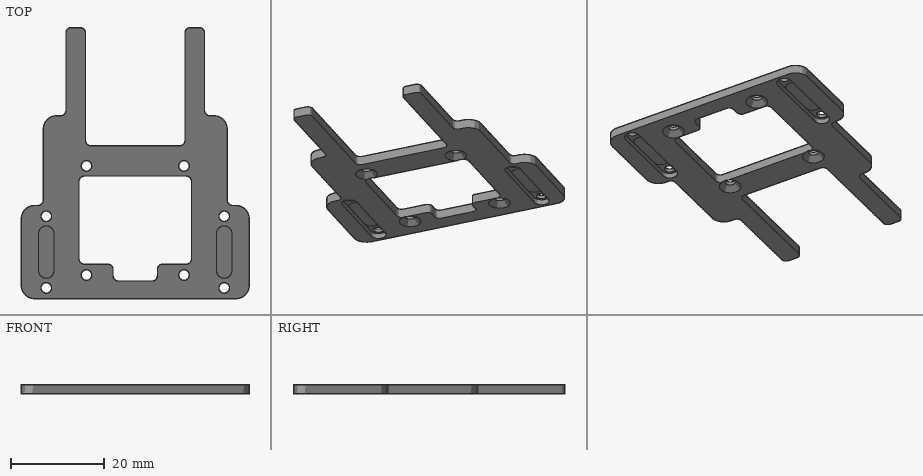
import cadquery as cq

thickness = 2.0
total_width = 48.58
total_length = 57.73

base_length = 19.9
base_middle = base_length / 2
middle_width = 39.2
middle_end = 39.0
arm_outer_span = 29.56
arm_width = 4.22
arm_root = 32.6
outer_radius = 2.9
small_radius = 1.1

corner_reach = 0.05

window_width = 23.9
window_rear = 7.4
window_front = 26.1
notch_width = 9.4
notch_rear = 3.8

hole_diameter = 2.2
countersink_diameter = 4.6
base_hole_span_x = 37.86
base_hole_span_y = 15.26
window_hole_span_x = 20.76
window_hole_rear = 5.06
window_hole_front = 28.29

roof_thickness = 0.8
recess_depth = thickness - roof_thickness
groove_width = 3.3

inlay_width = groove_width
inlay_length = 11.15


def block(width, rear, front):
    """Block of plate thickness, centred on X, between two Y positions."""
    length = front - rear
    layout = cq.Workplane("XY", origin=(0, rear, 0))
    return layout.box(width, length, thickness, centered=(True, False, False))


def corner_region(x, y):
    """Selector for the single vertical edge at X and Y."""
    low = (x - corner_reach, y - corner_reach, -corner_reach)
    high = (x + corner_reach, y + corner_reach, thickness + corner_reach)
    return cq.selectors.BoxSelector(low, high)


def round_corners(body, places, radius):
    """Round the mirrored vertical edges at each (half width, Y) place."""
    for half_width, y in places:
        pair = corner_region(half_width, y) + corner_region(-half_width, y)
        body = body.edges(pair).edges("|Z").fillet(radius)
    return body


def make_blank():
    """Stepped plate with its two arms and all outer corners rounded."""
    arm_inner_span = arm_outer_span - 2 * arm_width
    blank = block(total_width, 0, base_length)
    blank = blank.union(block(middle_width, 0, middle_end))
    blank = blank.union(block(arm_outer_span, 0, total_length))
    blank = blank.cut(block(arm_inner_span, arm_root, total_length))

    large_corners = [
        (total_width / 2, 0),
        (total_width / 2, base_length),
        (middle_width / 2, middle_end),
    ]
    small_corners = [
        (middle_width / 2, base_length),
        (arm_outer_span / 2, middle_end),
        (arm_outer_span / 2, total_length),
        (arm_inner_span / 2, total_length),
        (arm_inner_span / 2, arm_root),
    ]
    blank = round_corners(blank, large_corners, outer_radius)
    return round_corners(blank, small_corners, small_radius)


def make_window():
    """Cutting body for the notched window, with all corners rounded."""
    window = block(window_width, window_rear, window_front)
    window = window.union(block(notch_width, notch_rear, window_front))
    return window.edges("|Z").fillet(small_radius)


def make_base_hole_cutter(side):
    """Two screw holes in one side of the base, joined by a round-ended groove in the underside."""
    layout = cq.Workplane("XY").center(side * base_hole_span_x / 2, base_middle)
    holes = layout.rarray(1, base_hole_span_y, 1, 2).circle(hole_diameter / 2).extrude(thickness)
    groove_length = base_hole_span_y + groove_width
    groove = layout.slot2D(groove_length, groove_width, 90).extrude(recess_depth)
    return holes.union(groove)


def make_window_hole_cutter(x, y):
    """Screw hole beside the window, countersunk from the underside."""
    hole_radius = hole_diameter / 2
    profile = [
        (0, 0),
        (countersink_diameter / 2, 0),
        (hole_radius, recess_depth),
        (hole_radius, thickness),
        (0, thickness),
    ]
    cutter = cq.Workplane("XZ").polyline(profile).close().revolve(360, (0, 0), (0, 1))
    return cutter.translate((x, y, 0))


def make_inlay(side):
    """Round-ended strip running along Y through the roof of the groove."""
    layout = cq.Workplane("XY", origin=(side * base_hole_span_x / 2, base_middle, recess_depth))
    return layout.slot2D(inlay_length, inlay_width, 90).extrude(roof_thickness)


plate = make_blank().cut(make_window())
inlays = []
for side in (-1, 1):
    plate = plate.cut(make_base_hole_cutter(side))
    for hole_y in (window_hole_rear, window_hole_front):
        plate = plate.cut(make_window_hole_cutter(side * window_hole_span_x / 2, hole_y))
    inlay = make_inlay(side)
    plate = plate.cut(inlay)
    inlays.append(inlay)

result = cq.Compound.makeCompound([plate.val(), *[inlay.val() for inlay in inlays]])